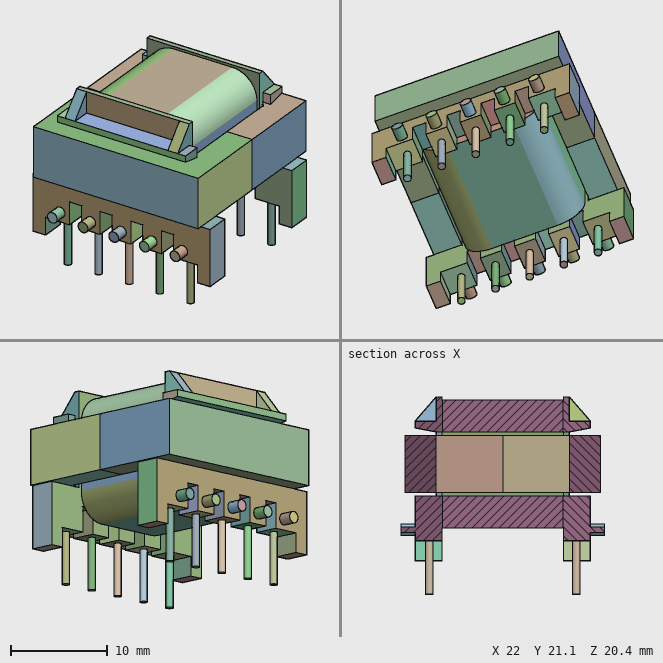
import cadquery as cq

END_TURNS = [0, 180]

OVERALL_WIDTH = 22.0
OVERALL_LENGTH = 21.1
OVERALL_HEIGHT = 20.45

CORE_WIDTH = 20.45
CORE_LENGTH = 20.28
CORE_HEIGHT = 5.95
OUTER_LEG_WIDTH = 3.12
TUNNEL_SIZE = 6.62
MIDDLE_LEG_WIDTH = CORE_HEIGHT

WINDING_SIZE = 13.33
WINDING_LENGTH = 12.58
WINDING_CORNER_RADIUS = 3.01

FLANGE_WIDTH = 14.0
FLANGE_THICKNESS = 0.62
FLANGE_TOP_Z = 6.95
FLANGE_INNER_Y = -WINDING_LENGTH / 2
FLANGE_OUTER_Y = FLANGE_INNER_Y - FLANGE_THICKNESS

BASE_THICKNESS = 2.8
BASE_OUTER_Y = FLANGE_INNER_Y - BASE_THICKNESS
BASE_TOP_Z = -TUNNEL_SIZE / 2
FOOT_BOTTOM_Z = BASE_TOP_Z - 6.73
FOOT_WIDTH = 1.58
FOOT_HEIGHT = 2.1
BASE_BOTTOM_Z = FOOT_BOTTOM_Z + FOOT_HEIGHT
SLOT_WIDTH = 1.47
SLOT_DEPTH = 2.7

LIP_WIDTH = 15.93
LIP_TOP_Z = 4.45
LIP_EDGE_HEIGHT = 0.73
LIP_ROOT_Z = TUNNEL_SIZE / 2
RIB_WIDTH = 1.23

PIN_COUNT = 5
PIN_PITCH = 3.8
PIN_ROW_Y = -2 * PIN_PITCH
PIN_DIAMETER = 0.8
PIN_BOTTOM_Z = FLANGE_TOP_Z - OVERALL_HEIGHT
POST_DIAMETER = 1.2
POST_HEIGHT_ABOVE_BASE_BOTTOM = 1.15
POST_Z = BASE_BOTTOM_Z + POST_HEIGHT_ABOVE_BASE_BOTTOM


def block(x_range, y_range, z_range):
    """Box between the given limits on each axis."""
    (x0, x1), (y0, y1), (z0, z1) = x_range, y_range, z_range
    return cq.Workplane("XY").box(x1 - x0, y1 - y0, z1 - z0, centered=False).translate((x0, y0, z0))


def centred_positions(count, pitch):
    """Evenly spaced positions, symmetric about zero."""
    return [(i - (count - 1) / 2) * pitch for i in range(count)]


def turned(body, angle):
    """Body turned about the Z axis."""
    return body.rotate((0, 0, 0), (0, 0, 1), angle)


def make_core_half():
    """E-shaped half: a yoke with two outer legs and a middle leg that end at Y = 0."""
    window_width = (CORE_WIDTH - 2 * OUTER_LEG_WIDTH - MIDDLE_LEG_WIDTH) / 2
    window_offset = (MIDDLE_LEG_WIDTH + window_width) / 2
    z_range = (-CORE_HEIGHT / 2, CORE_HEIGHT / 2)
    core = block((-CORE_WIDTH / 2, CORE_WIDTH / 2), (-CORE_LENGTH / 2, 0), z_range)
    for x in (-window_offset, window_offset):
        core = core.cut(block((x - window_width / 2, x + window_width / 2), (FLANGE_OUTER_Y, 0), z_range))
    return core


def make_winding():
    """Square coil with rounded outer corners around the tunnel."""
    coil = (
        cq.Workplane("XY")
        .box(WINDING_SIZE, WINDING_LENGTH, WINDING_SIZE)
        .edges("|Y")
        .fillet(WINDING_CORNER_RADIUS)
    )
    return coil.cut(cq.Workplane("XY").box(TUNNEL_SIZE, WINDING_LENGTH, TUNNEL_SIZE))


def make_flange():
    """Upright plate with the tunnel opening, standing on the base."""
    y_range = (FLANGE_OUTER_Y, FLANGE_INNER_Y)
    plate = block((-FLANGE_WIDTH / 2, FLANGE_WIDTH / 2), y_range, (BASE_TOP_Z, FLANGE_TOP_Z))
    opening = block(
        (-TUNNEL_SIZE / 2, TUNNEL_SIZE / 2), y_range, (-TUNNEL_SIZE / 2, TUNNEL_SIZE / 2)
    )
    return plate.cut(opening)


def make_lip():
    """Shelf above the core, with an underside that rises towards its outer edge."""
    profile = [
        (FLANGE_OUTER_Y, LIP_ROOT_Z),
        (FLANGE_OUTER_Y, LIP_TOP_Z),
        (BASE_OUTER_Y, LIP_TOP_Z),
        (BASE_OUTER_Y, LIP_TOP_Z - LIP_EDGE_HEIGHT),
    ]
    return cq.Workplane("YZ").polyline(profile).close().extrude(LIP_WIDTH / 2, both=True)


def make_rib(x):
    """Triangular rib between the lip and the flange, centred on x."""
    profile = [
        (FLANGE_OUTER_Y, LIP_TOP_Z),
        (FLANGE_OUTER_Y, FLANGE_TOP_Z),
        (BASE_OUTER_Y, LIP_TOP_Z),
    ]
    rib = cq.Workplane("YZ").polyline(profile).close().extrude(RIB_WIDTH / 2, both=True)
    return rib.translate((x, 0, 0))


def make_base():
    """Block with a foot at each end and a wire slot between each two pins."""
    half_width = OVERALL_WIDTH / 2
    foot_inner_x = half_width - FOOT_WIDTH
    y_range = (BASE_OUTER_Y, FLANGE_INNER_Y)
    base = block((-half_width, half_width), y_range, (FOOT_BOTTOM_Z, BASE_TOP_Z))
    base = base.cut(block((-foot_inner_x, foot_inner_x), y_range, (FOOT_BOTTOM_Z, BASE_BOTTOM_Z)))
    for x in centred_positions(PIN_COUNT - 1, PIN_PITCH):
        slot_x_range = (x - SLOT_WIDTH / 2, x + SLOT_WIDTH / 2)
        base = base.cut(block(slot_x_range, y_range, (BASE_BOTTOM_Z, BASE_BOTTOM_Z + SLOT_DEPTH)))
    return base


def make_pin(x):
    """Round pin pointing down from the underside of the base."""
    pin_length = BASE_BOTTOM_Z - PIN_BOTTOM_Z
    pin = cq.Workplane("XY").circle(PIN_DIAMETER / 2).extrude(pin_length)
    return pin.translate((x, PIN_ROW_Y, PIN_BOTTOM_Z))


def make_post(x):
    """Round post pointing outwards from the outer face of the base."""
    post_length = OVERALL_LENGTH / 2 + BASE_OUTER_Y
    post = cq.Workplane("XZ").circle(POST_DIAMETER / 2).extrude(post_length)
    return post.translate((x, BASE_OUTER_Y, POST_Z))


def make_bobbin_end():
    """One-piece bobbin end: flange, lip, ribs, base, pins and posts."""
    rib_x = (FLANGE_WIDTH - RIB_WIDTH) / 2
    bobbin_end = make_base().union(make_flange()).union(make_lip())
    for x in (-rib_x, rib_x):
        bobbin_end = bobbin_end.union(make_rib(x))
    for x in centred_positions(PIN_COUNT, PIN_PITCH):
        bobbin_end = bobbin_end.union(make_pin(x)).union(make_post(x))
    return bobbin_end


winding = make_winding()
core_halves = [turned(make_core_half(), angle) for angle in END_TURNS]
bobbin_ends = [turned(make_bobbin_end(), angle) for angle in END_TURNS]

result = cq.Compound.makeCompound(
    [winding.val()] + [half.val() for half in core_halves] + [end.val() for end in bobbin_ends]
)